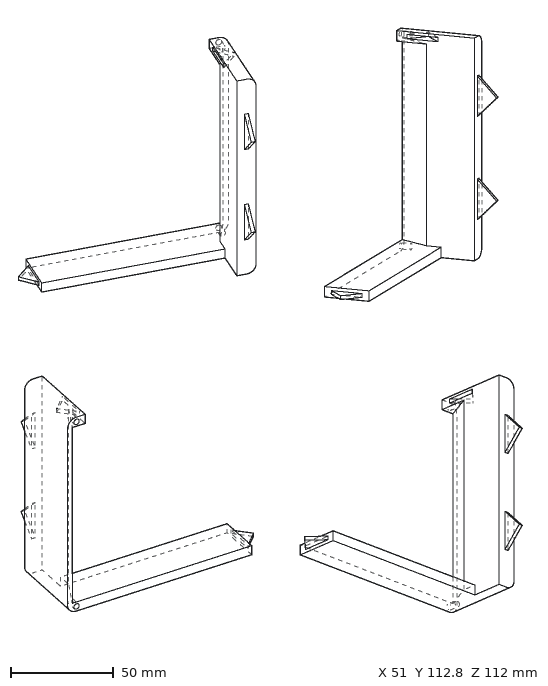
import cadquery as cq

plate_width = 40.8
plate_thickness = 10.0
plate_height = 112.0
corner_radius = 5.0

overall_depth = 112.8
arm_width = 23.5
arm_thickness = 5.3
arm_tip_reach = 8.0
arm_tip_thickness = 1.9
arm_length = overall_depth - arm_tip_reach

ramp_width = 15.8
rear_wall = 2.7

overall_width = 51.0
tongue_reach = overall_width - plate_width
tongue_thickness = 2.0
tongue_y = -5.1
tongue_spacing = 51.9

pocket_center_x = 13.5
pocket_width = 16.2
pocket_depth = 8.1
pocket_height = 2.1
pocket_drop = 2.5

hole_diameter = 3.0
hole_depth = 5.6
hole_y = -5.1
hole_inset = 2.7


def horizontal_triangle(points, center_z, thickness):
    """Triangular prism with level faces, centered on center_z."""
    base = cq.Workplane("XY", origin=(0, 0, center_z - thickness / 2))
    return base.polyline(points).close().extrude(thickness)


def make_plate():
    plate = cq.Workplane("XY").box(plate_width, plate_thickness, plate_height, centered=False)
    plate = plate.translate((0, -plate_thickness, 0))
    return plate.edges(">Y and |X").fillet(corner_radius)


def make_ramp_recess():
    front = -plate_thickness
    base = cq.Workplane("XY", origin=(0, 0, arm_thickness))
    outline = base.polyline([(0, front), (ramp_width, front), (0, -rear_wall)]).close()
    return outline.extrude(plate_height - 2 * arm_thickness)


def make_arm():
    arm = cq.Workplane("XY").box(arm_width, arm_length - corner_radius, arm_thickness, centered=False)
    arm = arm.translate((0, -arm_length, 0))
    center_x = arm_width / 2
    tip = horizontal_triangle(
        [
            (center_x - arm_tip_reach, -arm_length),
            (center_x + arm_tip_reach, -arm_length),
            (center_x, -overall_depth),
        ],
        arm_thickness / 2,
        arm_tip_thickness,
    )
    return arm.union(tip)


def make_tongue(center_z):
    base = cq.Workplane("XZ", origin=(0, tongue_y + tongue_thickness / 2, 0))
    outline = base.polyline(
        [
            (plate_width, center_z - tongue_reach),
            (overall_width, center_z),
            (plate_width, center_z + tongue_reach),
        ]
    ).close()
    return outline.extrude(tongue_thickness)


def make_pocket():
    front = -plate_thickness
    return horizontal_triangle(
        [
            (pocket_center_x - pocket_width / 2, front),
            (pocket_center_x + pocket_width / 2, front),
            (pocket_center_x, front + pocket_depth),
        ],
        plate_height - pocket_drop,
        pocket_height,
    )


def make_hole(center_z):
    base = cq.Workplane("YZ").center(hole_y, center_z)
    return base.circle(hole_diameter / 2).extrude(hole_depth)


result = make_plate().cut(make_ramp_recess()).union(make_arm())

for side in (-1, 1):
    result = result.union(make_tongue(plate_height / 2 + side * tongue_spacing / 2))

result = result.cut(make_pocket())

for hole_z in (hole_inset, plate_height - hole_inset):
    result = result.cut(make_hole(hole_z))